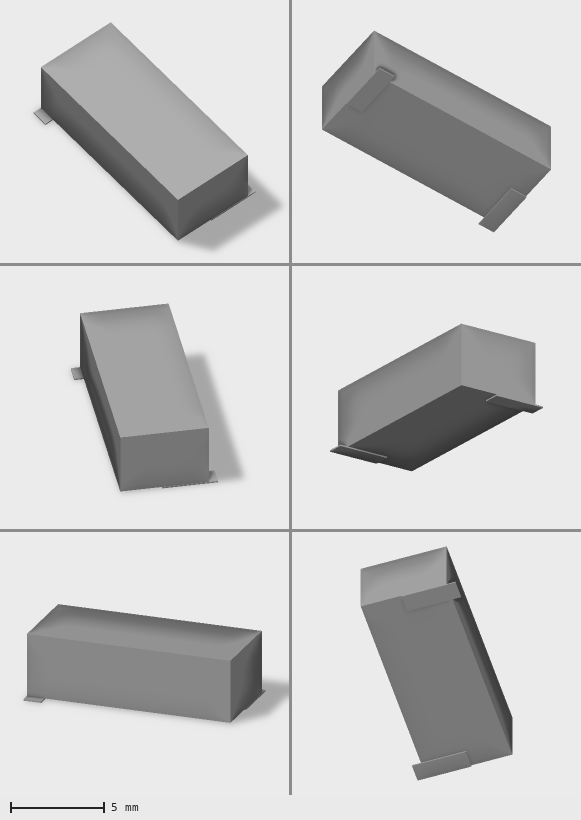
import cadquery as cq

overall_length = 11.69
overall_width = 5.85
overall_height = 3.65

terminal_width = 1.0
terminal_length = 3.04
terminal_thickness = 0.08
terminal_projection = 0.5
end_overhang = 0.02

housing_length = overall_length - end_overhang
housing_width = overall_width - 2 * terminal_projection
housing_height = overall_height - terminal_thickness


def make_housing():
    """Plain block, flush with the -X end of the envelope, sitting on the terminals."""
    return (
        cq.Workplane("XY")
        .box(housing_length, housing_width, housing_height, centered=(True, True, False))
        .translate((-end_overhang / 2, 0, terminal_thickness))
    )


def make_terminal(corner):
    """Flat strip in the envelope corner at -X, -Y (corner = -1) or +X, +Y (corner = 1)."""
    center_x = corner * (overall_length - terminal_width) / 2
    center_y = corner * (overall_width - terminal_length) / 2
    return (
        cq.Workplane("XY")
        .box(terminal_width, terminal_length, terminal_thickness, centered=(True, True, False))
        .translate((center_x, center_y, 0))
    )


housing = make_housing()
terminals = [make_terminal(corner) for corner in (-1, 1)]

result = cq.Compound.makeCompound([housing.val(), *[terminal.val() for terminal in terminals]])